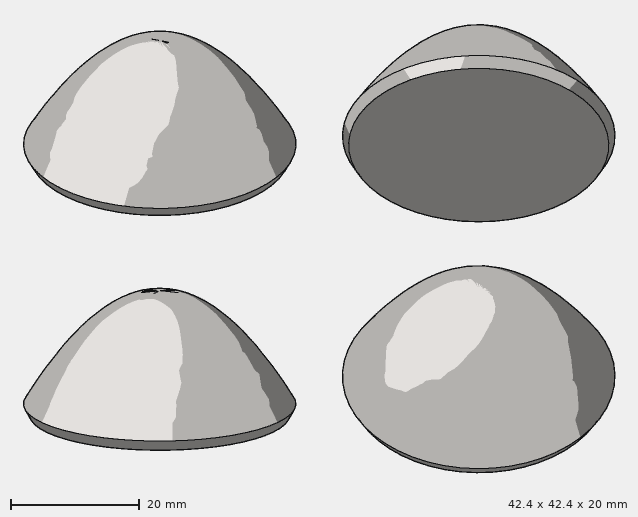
import cadquery as cq
import math

rim_radius = 21.2
total_height = 20.0
rim_height = 1.8
base_radius = 20.22

apex_radius = 11.95
dome_depth = total_height - rim_height
conic_term = (rim_radius**2 - 2 * apex_radius * dome_depth) / dome_depth**2
curve_steps = 12


def depth_at(radius):
    """Depth below the apex where the dome reaches the given radius."""
    root = math.sqrt(apex_radius**2 + conic_term * radius**2)
    return radius**2 / (apex_radius + root)


dome_points = []
for step in range(curve_steps + 1):
    radius = rim_radius * (1 - step / curve_steps)
    dome_points.append((radius, total_height - depth_at(radius)))

rim_slope = rim_radius / (apex_radius + conic_term * dome_depth)
rim_tangent = (-1, rim_slope)
apex_tangent = (-1, 0)

profile = (
    cq.Workplane("XZ")
    .lineTo(base_radius, 0)
    .lineTo(rim_radius, rim_height)
    .spline(dome_points[1:], tangents=[rim_tangent, apex_tangent], includeCurrent=True)
    .close()
)

result = profile.revolve(360, (0, 0, 0), (0, 1, 0))